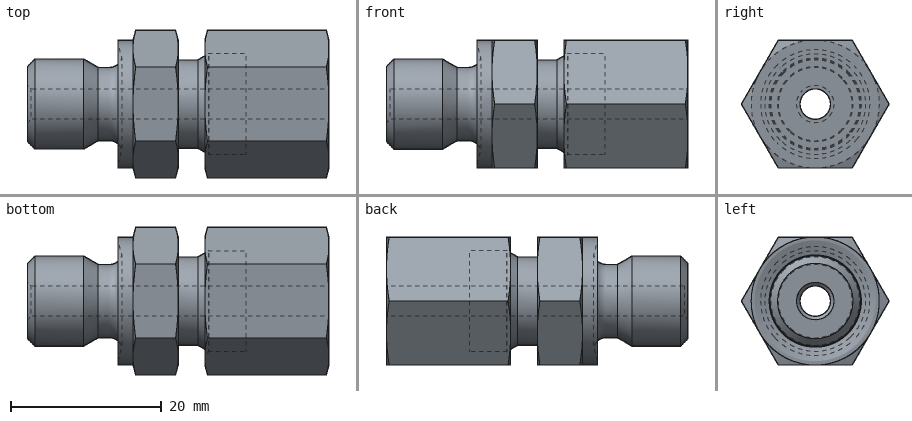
import cadquery as cq
import math


overall_length = 40.0
across_flats = 17.0
hex_chamfer_angle = 15.0

thread_radius = 6.0
end_chamfer = 1.0
thread_end = 7.45
runout_angle = 30.0
neck_radius = 4.9

flange_start = 12.0
flange_radius = across_flats / 2
sealing_rim_width = 0.5
undercut_angle = 15.0
root_fillet = 1.7

stud_hex_start = 14.0
stud_hex_end = 20.0

nut_thread_radius = 6.7
shank_radius = 5.9
shank_cone_start = 22.6
shank_cone_angle = 30.0
stud_end = 29.0

bore_radius = 2.0
bore_chamfer = 0.5

nut_start = 23.5
mouth_chamfer = 0.55


def revolve_about_x(profile):
    """Turn a closed (X, radius) profile about the X axis."""
    return profile.close().revolve(360, (0, 0, 0), (1, 0, 0))


def cylinder_along_x(start, end, radius):
    return cq.Workplane("YZ", origin=(start, 0, 0)).circle(radius).extrude(end - start)


def chamfered_hex(start, end):
    """Hexagonal prism along X, corners on +Y and -Y, with conical corner chamfers at both ends."""
    face_radius = across_flats / 2
    corner_radius = across_flats / math.sqrt(3)
    cone_radius = corner_radius + 0.4
    cone_depth = (cone_radius - face_radius) * math.tan(math.radians(hex_chamfer_angle))
    prism = cq.Workplane("YZ", origin=(start, 0, 0)).polygon(6, 2 * corner_radius).extrude(end - start)
    envelope = revolve_about_x(
        cq.Workplane("XY")
        .moveTo(start, 0)
        .lineTo(start, face_radius)
        .lineTo(start + cone_depth, cone_radius)
        .lineTo(end - cone_depth, cone_radius)
        .lineTo(end, face_radius)
        .lineTo(end, 0)
    )
    return prism.intersect(envelope)


def turned_stud_end():
    """Chamfered thread, relieved neck and undercut sealing flange."""
    runout_length = (thread_radius - neck_radius) / math.tan(math.radians(runout_angle))

    sweep = math.radians(90 - undercut_angle)
    undercut_outer_radius = flange_radius - sealing_rim_width
    fillet_end_radius = neck_radius + root_fillet * (1 - math.cos(sweep))
    undercut_depth = (undercut_outer_radius - fillet_end_radius) * math.tan(math.radians(undercut_angle))
    fillet_end_x = flange_start + undercut_depth
    fillet_start_x = fillet_end_x - root_fillet * math.sin(sweep)
    fillet_middle = (
        fillet_start_x + root_fillet * math.sin(sweep / 2),
        neck_radius + root_fillet * (1 - math.cos(sweep / 2)),
    )

    return revolve_about_x(
        cq.Workplane("XY")
        .moveTo(0, 0)
        .lineTo(0, thread_radius - end_chamfer)
        .lineTo(end_chamfer, thread_radius)
        .lineTo(thread_end, thread_radius)
        .lineTo(thread_end + runout_length, neck_radius)
        .lineTo(fillet_start_x, neck_radius)
        .threePointArc(fillet_middle, (fillet_end_x, fillet_end_radius))
        .lineTo(flange_start, undercut_outer_radius)
        .lineTo(flange_start, flange_radius)
        .lineTo(stud_hex_start, flange_radius)
        .lineTo(stud_hex_start, 0)
    )


def turned_shank():
    """Shank behind the hexagon, with the cone that leads up to the thread in the nut."""
    cone_length = (nut_thread_radius - shank_radius) / math.tan(math.radians(shank_cone_angle))
    return revolve_about_x(
        cq.Workplane("XY")
        .moveTo(stud_hex_end, 0)
        .lineTo(stud_hex_end, shank_radius)
        .lineTo(shank_cone_start, shank_radius)
        .lineTo(shank_cone_start + cone_length, nut_thread_radius)
        .lineTo(stud_end, nut_thread_radius)
        .lineTo(stud_end, 0)
    )


def chamfered_bore():
    """Through bore of the stud, widened at its free end."""
    return revolve_about_x(
        cq.Workplane("XY")
        .moveTo(0, 0)
        .lineTo(0, bore_radius + bore_chamfer)
        .lineTo(bore_chamfer, bore_radius)
        .lineTo(stud_end, bore_radius)
        .lineTo(stud_end, 0)
    )


def make_stud():
    body = turned_stud_end().union(chamfered_hex(stud_hex_start, stud_hex_end)).union(turned_shank())
    return body.cut(chamfered_bore())


def nut_socket():
    """Threaded recess for the stud, widened at its mouth."""
    return revolve_about_x(
        cq.Workplane("XY")
        .moveTo(nut_start, 0)
        .lineTo(nut_start, nut_thread_radius + mouth_chamfer)
        .lineTo(nut_start + mouth_chamfer, nut_thread_radius)
        .lineTo(stud_end, nut_thread_radius)
        .lineTo(stud_end, 0)
    )


def make_union_nut():
    """Hexagonal nut with a socket for the stud and the bore carried on through its far end."""
    bore = cylinder_along_x(stud_end, overall_length, bore_radius)
    return chamfered_hex(nut_start, overall_length).cut(nut_socket()).cut(bore)


stud = make_stud()
union_nut = make_union_nut()

result = cq.Compound.makeCompound([stud.val(), union_nut.val()])